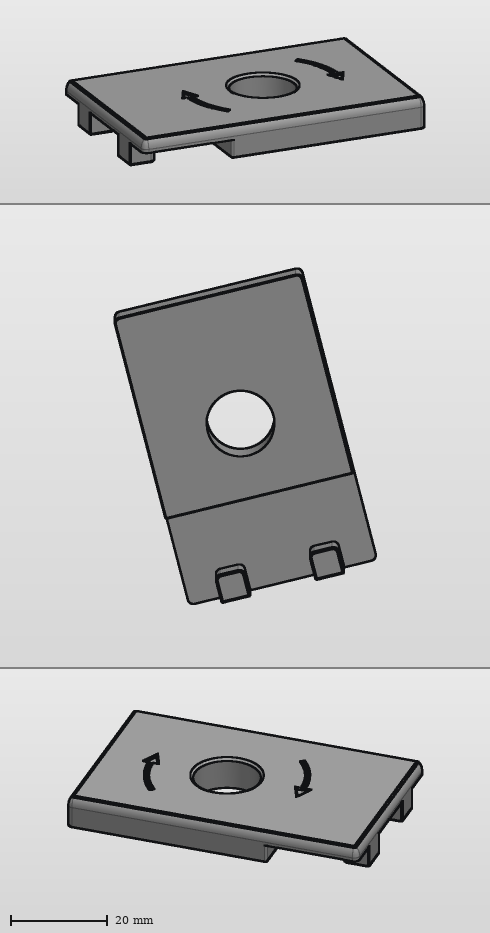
import cadquery as cq
import math

LENGTH_X = 40.0
LENGTH_Y = 64.0
HEIGHT = 8.0
PLATE_BOTTOM = 5.0
CORNER_RADIUS = 1.2

CROWN_START = 5.8
CROWN_RADIUS = 3.0
CROWN_INSET = 0.75
RIM_INSET = CORNER_RADIUS

BLOCK_BOTTOM = 1.0
BLOCK_FRONT_Y = -12.0
BLOCK_FRONT_RADIUS = 0.5
BLOCK_EDGE_CHAMFER = 0.2

LEG_WIDTH = 6.15
LEG_DEPTH = 6.0
LEG_CENTRE_X = 10.0
LEG_BACK_RADIUS = 1.2
LEG_FRONT_CHAMFER = 0.25
LEG_BOTTOM_CHAMFER = 0.35

HOLE_Y = 4.0
HOLE_DIAMETER = 14.0
HOLE_CHAMFER = 0.6
HOLE_CHAMFER_ANGLE = 45.0

ARROW_INNER_RADIUS = 16.1
ARROW_OUTER_RADIUS = 17.2
ARROW_TAIL_ANGLE = 131.0
HEAD_BASE_X = -0.3
HEAD_INNER_Y = 14.8
HEAD_OUTER_Y = 18.4
HEAD_TIP = (3.6, 16.5)
ENGRAVE_DEPTH = 0.35
ENGRAVE_INSET = ENGRAVE_DEPTH


def crown_height(inset):
    """Height of the crown arc at a given distance in from the side wall."""
    return CROWN_START + math.sqrt(CROWN_RADIUS**2 - (CROWN_RADIUS - inset) ** 2)


def rim_section(plane):
    """Section of the rim, from the inner end of its bevel (at 0) out to the side wall."""
    middle_inset = CROWN_INSET / 3
    return (
        cq.Workplane(plane)
        .moveTo(0, PLATE_BOTTOM)
        .lineTo(RIM_INSET, PLATE_BOTTOM)
        .lineTo(RIM_INSET, CROWN_START)
        .threePointArc(
            (RIM_INSET - middle_inset, crown_height(middle_inset)),
            (RIM_INSET - CROWN_INSET, crown_height(CROWN_INSET)),
        )
        .lineTo(0, HEIGHT)
        .close()
    )


def make_plate():
    """Flat core with a straight rim along each side and a revolved rim at each corner."""
    core_x = LENGTH_X - 2 * RIM_INSET
    core_y = LENGTH_Y - 2 * RIM_INSET
    plate = cq.Workplane("XY", origin=(0, 0, PLATE_BOTTOM)).rect(core_x, core_y).extrude(HEIGHT - PLATE_BOTTOM)
    rim_corner = rim_section("XZ").revolve(90, (0, 0, 0), (0, -1, 0))
    sides = [(0, core_x, core_y), (90, core_y, core_x), (180, core_x, core_y), (270, core_y, core_x)]
    for turn, width, length in sides:
        side = rim_section("XZ").extrude(length / 2, both=True).translate((width / 2, 0, 0))
        corner = rim_corner.translate((width / 2, -length / 2, 0))
        for piece in (side, corner):
            plate = plate.union(piece.rotate((0, 0, 0), (0, 0, 1), turn))
    return plate


def make_block():
    depth = LENGTH_Y / 2 - BLOCK_FRONT_Y
    return (
        cq.Workplane("XY", origin=(0, BLOCK_FRONT_Y + depth / 2, BLOCK_BOTTOM))
        .rect(LENGTH_X, depth)
        .extrude(PLATE_BOTTOM - BLOCK_BOTTOM)
        .edges("|Z and >Y")
        .fillet(CORNER_RADIUS)
        .edges("|Z and <Y")
        .fillet(BLOCK_FRONT_RADIUS)
        .faces("<Z")
        .chamfer(BLOCK_EDGE_CHAMFER)
    )


def make_leg(centre_x):
    return (
        cq.Workplane("XY", origin=(centre_x, (LEG_DEPTH - LENGTH_Y) / 2, 0))
        .rect(LEG_WIDTH, LEG_DEPTH)
        .extrude(PLATE_BOTTOM)
        .edges("|Z and >Y")
        .fillet(LEG_BACK_RADIUS)
        .edges("|Z and <Y")
        .chamfer(LEG_FRONT_CHAMFER)
        .faces("<Z")
        .chamfer(LEG_BOTTOM_CHAMFER)
    )


def make_hole():
    bore = cq.Workplane("XY").center(0, HOLE_Y).circle(HOLE_DIAMETER / 2).extrude(HEIGHT)
    countersink = (
        cq.Workplane("XY", origin=(0, HOLE_Y, HEIGHT))
        .circle(HOLE_DIAMETER / 2 + HOLE_CHAMFER)
        .extrude(-HOLE_CHAMFER, taper=HOLE_CHAMFER_ANGLE)
    )
    return bore.union(countersink)


def polar(radius, angle):
    return (radius * math.cos(math.radians(angle)), radius * math.sin(math.radians(angle)))


def inset_triangle(corners, inset):
    """Corners of a triangle whose sides are all moved inward by the same distance."""
    sides = [math.dist(corners[(i + 1) % 3], corners[(i + 2) % 3]) for i in range(3)]
    perimeter = sum(sides)
    centre = [sum(side * corner[axis] for side, corner in zip(sides, corners)) / perimeter for axis in (0, 1)]
    (x0, y0), (x1, y1), (x2, y2) = corners
    area = abs((x1 - x0) * (y2 - y0) - (x2 - x0) * (y1 - y0)) / 2
    scale = 1 - inset * perimeter / (2 * area)
    return [tuple(c + scale * (v - c) for c, v in zip(centre, corner)) for corner in corners]


def arrow_outline(depth, inset):
    """Closed arrow outline at a depth below the top face, moved inward all round by inset."""
    inner_radius = ARROW_INNER_RADIUS + inset
    outer_radius = ARROW_OUTER_RADIUS - inset
    tail_angle = ARROW_TAIL_ANGLE - math.degrees(inset / inner_radius)
    head = [(HEAD_BASE_X, HEAD_OUTER_Y), HEAD_TIP, (HEAD_BASE_X, HEAD_INNER_Y)]
    head_outer, head_tip, head_inner = inset_triangle(head, inset)
    base_x = head_outer[0]
    inner_neck = (base_x, math.sqrt(inner_radius**2 - base_x**2))
    outer_neck = (base_x, math.sqrt(outer_radius**2 - base_x**2))
    middle_angle = (tail_angle + 90) / 2
    outline = (
        cq.Workplane("XY", origin=(0, HOLE_Y, HEIGHT - depth))
        .moveTo(*polar(outer_radius, tail_angle))
        .threePointArc(polar(outer_radius, middle_angle), outer_neck)
        .lineTo(*head_outer)
        .lineTo(*head_tip)
        .lineTo(*head_inner)
        .lineTo(*inner_neck)
        .threePointArc(polar(inner_radius, middle_angle), polar(inner_radius, tail_angle))
        .close()
    )
    return outline.val()


def make_arrow(turn):
    """Engraving of one curved arrow with sloping walls, turned about the hole axis."""
    outlines = [arrow_outline(0, 0), arrow_outline(ENGRAVE_DEPTH, ENGRAVE_INSET)]
    arrow = cq.Workplane(cq.Solid.makeLoft(outlines, True))
    return arrow.rotate((0, HOLE_Y, 0), (0, HOLE_Y, 1), turn)


result = make_plate().union(make_block())
for leg_x in (-LEG_CENTRE_X, LEG_CENTRE_X):
    result = result.union(make_leg(leg_x))
result = result.clean().cut(make_hole())
for arrow_turn in (0, 180):
    result = result.cut(make_arrow(arrow_turn))